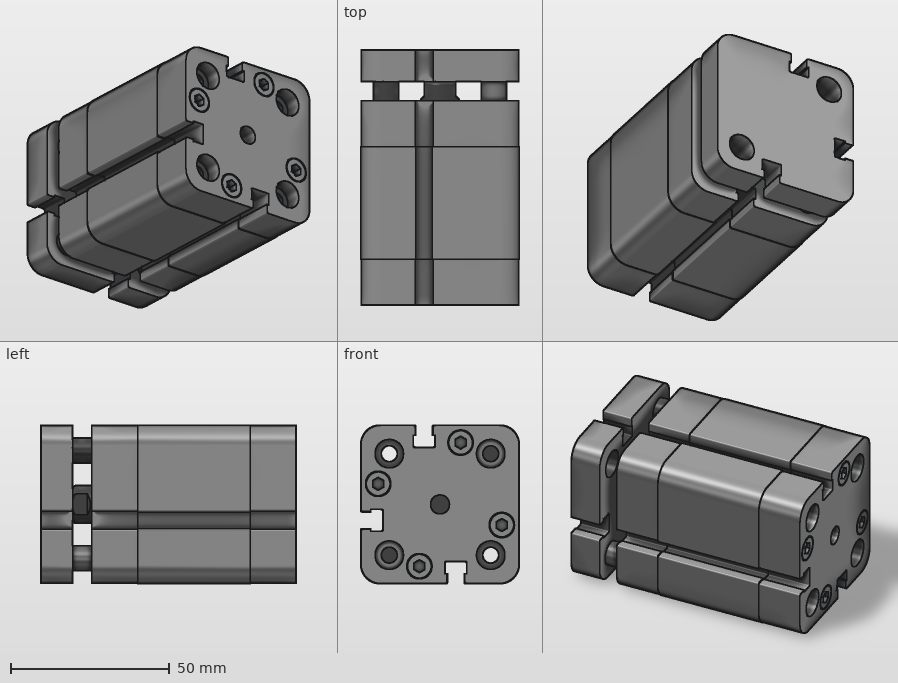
import cadquery as cq

cap_length = 14.5
barrel_length = 35.5
rod_stroke_gap = 6.0
plate_thickness = 10.0
body_length = barrel_length + 2 * cap_length
plate_start = body_length + rod_stroke_gap

cap_size = 49.8
cap_corner_radius = 6.0
barrel_size = 50.1
barrel_corner_radius = 6.2

slot_offset = 5.0
slot_chamber_top = 21.8
cap_slot_floor = 17.95
cap_slot_mouth = 5.7
cap_slot_chamber = 7.0
barrel_slot_floor = 18.1
barrel_slot_mouth = 5.2
barrel_slot_chamber = 6.8
slot_lip_radius = 0.6
slot_corner_radius = 0.5
slot_angles = (0, 90, 180)

mount_offset = 16.0
mount_bore_diameter = 5.0
mount_counterbore_diameter = 9.0
mount_counterbore_depth = 5.5
plate_access_diameter = 9.0
port_diameter = 6.0
port_depth = 10.0

screw_across = 6.5
screw_out = 19.5
screw_seat_diameter = 8.0
screw_head_diameter = 7.5
screw_head_height = 4.0
screw_socket_flats = 3.5
screw_socket_depth = 3.0
screw_centres = (
    (screw_across, screw_out),
    (-screw_out, screw_across),
    (-screw_across, -screw_out),
    (screw_out, -screw_across),
)

guide_offset = 17.0
guide_diameter = 8.0
rod_diameter = 12.0
rod_end_radius = 1.25
rod_flats = 10.0
rod_flat_length = 4.6


def at_depth(y):
    """XZ workplane at depth y; negative extrusions run along +Y."""
    return cq.Workplane("XZ", origin=(0, y, 0))


def cylinder(diameter, start, length, x=0, z=0):
    return at_depth(start).center(x, z).circle(diameter / 2).extrude(-length)


def turned(shape, angle):
    """Rotate a shape about the Y axis, counter-clockwise as met from -Y."""
    return shape.rotate((0, 0, 0), (0, 1, 0), -angle)


def slot_cutter(size, mouth, chamber, floor, start, length):
    """T-slot open to +Z, its mouth edges rounded outwards."""
    top = size / 2
    half_mouth = mouth / 2
    half_chamber = chamber / 2
    lip_start = top - slot_lip_radius
    half_opening = half_mouth + slot_lip_radius
    return (
        at_depth(start)
        .center(-slot_offset, 0)
        .moveTo(-half_chamber, floor)
        .lineTo(half_chamber, floor)
        .lineTo(half_chamber, slot_chamber_top)
        .lineTo(half_mouth, slot_chamber_top)
        .lineTo(half_mouth, lip_start)
        .radiusArc((half_opening, top), slot_lip_radius)
        .lineTo(-half_opening, top)
        .radiusArc((-half_mouth, lip_start), slot_lip_radius)
        .lineTo(-half_mouth, slot_chamber_top)
        .lineTo(-half_chamber, slot_chamber_top)
        .close()
        .extrude(-length)
        .edges("|Y and <Z")
        .fillet(slot_corner_radius)
    )


def slotted_block(size, corner_radius, mouth, chamber, floor, start, length):
    block = at_depth(start).rect(size, size).extrude(-length).edges("|Y").fillet(corner_radius)
    cutter = slot_cutter(size, mouth, chamber, floor, start, length)
    for angle in slot_angles:
        block = block.cut(turned(cutter, angle))
    return block


def cap_block(start, length):
    return slotted_block(
        cap_size, cap_corner_radius, cap_slot_mouth, cap_slot_chamber, cap_slot_floor, start, length
    )


def piston_rod():
    """Round rod with two wrench flats that run out at 45 degrees."""
    rod = cylinder(rod_diameter, body_length, rod_stroke_gap).faces(">Y").edges().fillet(rod_end_radius)
    flat_depth = (rod_diameter - rod_flats) / 2
    half_flats = rod_flats / 2
    flat_end = plate_start - rod_flat_length
    for side in (-1, 1):
        cutter = (
            cq.Workplane("XY", origin=(0, 0, -rod_diameter / 2))
            .moveTo(side * half_flats, plate_start)
            .lineTo(side * half_flats, flat_end)
            .lineTo(side * (half_flats + flat_depth), flat_end - flat_depth)
            .lineTo(side * (half_flats + flat_depth), plate_start)
            .close()
            .extrude(rod_diameter)
        )
        rod = rod.cut(cutter)
    return rod


def screw_cutter(x, z):
    """Gap round a flush screw head, and its hexagon socket with corners up and down."""
    seat = cylinder(screw_seat_diameter, 0, screw_head_height, x, z)
    head = cylinder(screw_head_diameter, 0, screw_head_height, x, z)
    socket = (
        at_depth(0)
        .center(x, z)
        .polygon(6, screw_socket_flats, circumscribed=True)
        .extrude(-screw_socket_depth)
    )
    return seat.cut(head).union(socket)


front_cap = cap_block(0, cap_length)
barrel = slotted_block(
    barrel_size,
    barrel_corner_radius,
    barrel_slot_mouth,
    barrel_slot_chamber,
    barrel_slot_floor,
    cap_length,
    barrel_length,
)
rear_cap = cap_block(cap_length + barrel_length, cap_length)
plate = cap_block(plate_start, plate_thickness)
result = front_cap.union(barrel).union(rear_cap).union(plate)

result = result.union(piston_rod())
for side in (-1, 1):
    position = side * guide_offset
    result = result.union(cylinder(guide_diameter, body_length, rod_stroke_gap, position, position))

for x_side in (-1, 1):
    for z_side in (-1, 1):
        x = x_side * mount_offset
        z = z_side * mount_offset
        has_guide = x_side == z_side
        bore_length = cap_length if has_guide else body_length
        result = result.cut(cylinder(mount_bore_diameter, 0, bore_length, x, z))
        result = result.cut(cylinder(mount_counterbore_diameter, 0, mount_counterbore_depth, x, z))
        if not has_guide:
            result = result.cut(cylinder(plate_access_diameter, plate_start, plate_thickness, x, z))

result = result.cut(cylinder(port_diameter, 0, port_depth))
for x, z in screw_centres:
    result = result.cut(screw_cutter(x, z))